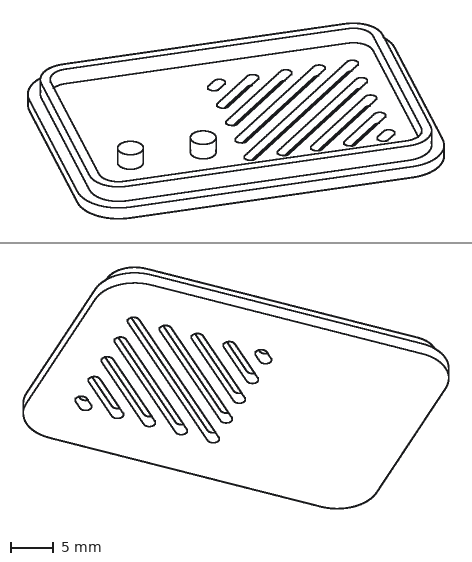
import cadquery as cq
import math

width = 31.1
length = 44.1
base_height = 1.5
corner_radius = 5.0

total_height = 3.5
rim_inset = 1.45
rim_wall = 1.15
rim_height = total_height - base_height
rim_radius = corner_radius - rim_inset
pocket_radius = rim_radius - rim_wall

slot_width = 1.4
slot_pitch = 4.0
slots_per_side = 5
shortest_run = 0.93
field_side = (slots_per_side - 1) * slot_pitch + shortest_run
field_left = -8.45
field_top = 16.35

pin_diameter = 3.0
pin_x = 6.0
pin_ys = (-5.6, -14.38)
pin_height = rim_height


def rounded_block(inset, radius, height):
    """Block inset evenly from the plate outline, standing on Z = 0."""
    return (
        cq.Workplane("XY")
        .box(width - 2 * inset, length - 2 * inset, height, centered=(True, True, False))
        .edges("|Z")
        .fillet(radius)
    )


def vent_slot(step):
    """Slot at 45 degrees; a positive step moves it right, a negative one down."""
    offset = abs(step) * slot_pitch
    run = field_side - offset
    start_x = field_left + max(step, 0) * slot_pitch
    start_y = field_top + min(step, 0) * slot_pitch
    centre = (start_x + run / 2, start_y - run / 2)
    return (
        cq.Workplane("XY")
        .center(*centre)
        .slot2D(run * math.sqrt(2) + slot_width, slot_width, -45)
        .extrude(base_height)
    )


base = rounded_block(0, corner_radius, base_height)
rim = rounded_block(rim_inset, rim_radius, rim_height).cut(
    rounded_block(rim_inset + rim_wall, pocket_radius, rim_height)
)
result = base.union(rim.translate((0, 0, base_height)))

for step in range(1 - slots_per_side, slots_per_side):
    result = result.cut(vent_slot(step))

pins = (
    cq.Workplane("XY")
    .workplane(offset=base_height)
    .pushPoints([(pin_x, y) for y in pin_ys])
    .circle(pin_diameter / 2)
    .extrude(pin_height)
)
result = result.union(pins)